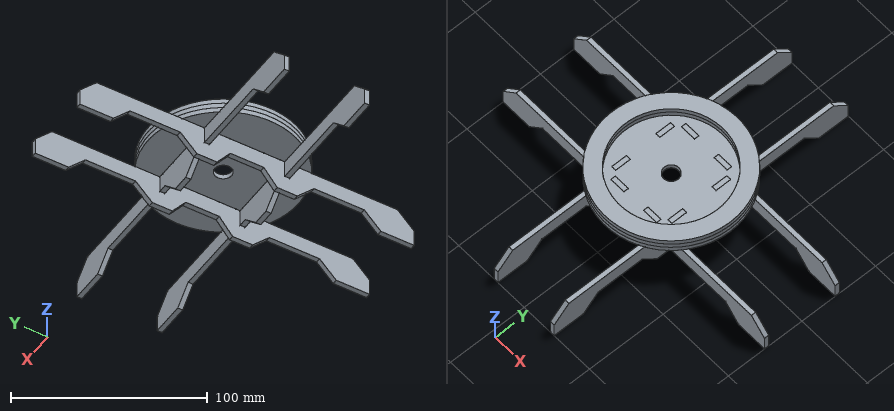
import cadquery as cq

sheet = 3.0
half_span = 100.0

rail_top = 20.0
web_depth = 10.0
web_bottom = rail_top - web_depth
tip_chamfer = 10.0
foot_length = 20.0
foot_end = half_span - foot_length
foot_top = foot_end - web_bottom

x_rail_offset = 24.0
y_rail_outer_face = 23.0
y_rail_offset = y_rail_outer_face - sheet / 2

middle_foot_half = 5.0
middle_foot_top_half = 15.0

crossing_foot_inner = 18.0
crossing_foot_inner_top = 10.0
crossing_foot_outer = 30.0
crossing_foot_outer_top = crossing_foot_outer + web_bottom

tab_length = 10.0
tab_setback = 4.0
x_tab_center = y_rail_offset - tab_setback - tab_length / 2
y_tab_center = x_rail_offset - tab_setback - tab_length / 2

disc_radius = 45.0
ring_inner_radius = 35.0
center_hole_radius = 5.0
ring_count = 2

SIDES = (-1, 1)


def rail_profile(middle_edge, tab_center):
    """Mirrored rail with tabs; middle_edge is the right half of its lower edge between the end feet."""
    right_half = [
        *middle_edge,
        (foot_top, web_bottom),
        (foot_end, 0),
        (half_span, 0),
        (half_span, rail_top - tip_chamfer),
        (half_span - tip_chamfer, rail_top),
    ]
    left_half = [(-along, height) for along, height in reversed(right_half)]
    rail = cq.Workplane("XZ").polyline(right_half + left_half).close().extrude(sheet / 2, both=True)
    for side in SIDES:
        tab = cq.Workplane("XY").box(tab_length, sheet, sheet, centered=(True, True, False))
        rail = rail.union(tab.translate((side * tab_center, 0, rail_top)))
    return rail


def make_x_rail(side):
    """Rail along X with one foot in the middle."""
    middle_edge = [(middle_foot_half, 0), (middle_foot_top_half, web_bottom)]
    return rail_profile(middle_edge, x_tab_center).translate((0, side * x_rail_offset, 0))


def make_y_rail(side):
    """Rail along Y with a foot at each crossing, notched from above so that the rails along X pass through."""
    middle_edge = [
        (crossing_foot_inner_top, web_bottom),
        (crossing_foot_inner, 0),
        (crossing_foot_outer, 0),
        (crossing_foot_outer_top, web_bottom),
    ]
    rail = rail_profile(middle_edge, y_tab_center)
    for end in SIDES:
        notch = cq.Workplane("XY").box(sheet, sheet, web_depth, centered=(True, True, False))
        rail = rail.cut(notch.translate((end * x_rail_offset, 0, web_bottom)))
    return rail.rotate((0, 0, 0), (0, 0, 1), 90).translate((side * y_rail_offset, 0, 0))


def make_base_disc():
    """Disc on top of the rails with a centre hole and one through slot for each tab."""
    x_rail_slots = [(i * x_tab_center, j * x_rail_offset) for i in SIDES for j in SIDES]
    y_rail_slots = [(i * y_rail_offset, j * y_tab_center) for i in SIDES for j in SIDES]
    disc = cq.Workplane("XY").circle(disc_radius).circle(center_hole_radius).extrude(sheet)
    disc = disc.cut(cq.Workplane("XY").pushPoints(x_rail_slots).rect(tab_length, sheet).extrude(sheet))
    disc = disc.cut(cq.Workplane("XY").pushPoints(y_rail_slots).rect(sheet, tab_length).extrude(sheet))
    return disc.translate((0, 0, rail_top))


def make_ring(level):
    """Flat ring; level 1 rests on the base disc and each further level on the ring below."""
    ring = cq.Workplane("XY").circle(disc_radius).circle(ring_inner_radius).extrude(sheet)
    return ring.translate((0, 0, rail_top + level * sheet))


x_rails = [make_x_rail(side) for side in SIDES]
y_rails = [make_y_rail(side) for side in SIDES]
base_disc = make_base_disc()
rings = [make_ring(level) for level in range(1, ring_count + 1)]

bodies = [*x_rails, *y_rails, base_disc, *rings]
result = cq.Compound.makeCompound([body.solids().val() for body in bodies])